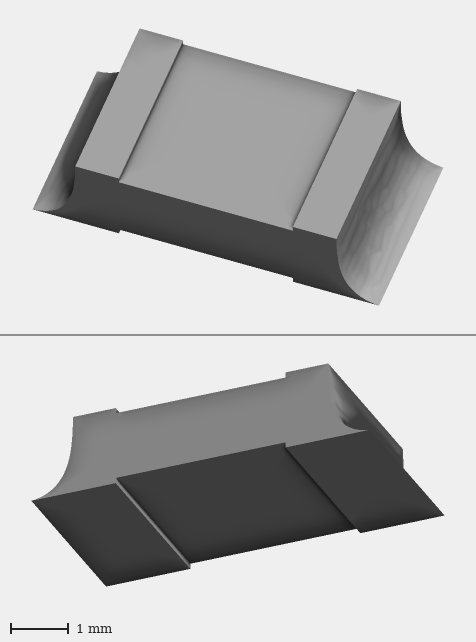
import cadquery as cq

overall_length = 6.4
width = 3.3
height = 1.5

solder_length = 0.79
toe_slope = (1.0, 0.1)

cap_length = 0.805
cap_end_thickness = 0.205
cap_plate_thickness = 0.1

chip_length = overall_length - 2 * solder_length
core_length = chip_length - 2 * cap_end_thickness
core_height = height - 2 * cap_plate_thickness


def make_core():
    """Rectangular core held between the end caps."""
    return (
        cq.Workplane("XY")
        .box(core_length, width, core_height)
        .translate((0, 0, height / 2))
    )


def make_left_cap():
    """C-shaped cap that covers the end, top and bottom of the core."""
    outer_x = -chip_length / 2
    wall_x = outer_x + cap_end_thickness
    inner_x = outer_x + cap_length
    core_bottom = cap_plate_thickness
    core_top = height - cap_plate_thickness
    return (
        cq.Workplane("XZ", origin=(0, width / 2, 0))
        .moveTo(outer_x, 0)
        .lineTo(inner_x, 0)
        .lineTo(inner_x, core_bottom)
        .lineTo(wall_x, core_bottom)
        .lineTo(wall_x, core_top)
        .lineTo(inner_x, core_top)
        .lineTo(inner_x, height)
        .lineTo(outer_x, height)
        .close()
        .extrude(width)
    )


def make_left_solder():
    """Solder wedge with a concave face sweeping from its toe up the cap."""
    toe_x = -overall_length / 2
    cap_x = -chip_length / 2
    return (
        cq.Workplane("XZ", origin=(0, width / 2, 0))
        .moveTo(toe_x, 0)
        .spline(
            [(cap_x, height)],
            tangents=[toe_slope, (0, 1)],
            includeCurrent=True,
        )
        .lineTo(cap_x, 0)
        .close()
        .extrude(width)
    )


core = make_core()
end_bodies = []
for make_left_body in (make_left_cap, make_left_solder):
    left_body = make_left_body()
    right_body = left_body.mirror("YZ")
    end_bodies += [left_body.val(), right_body.val()]

result = cq.Compound.makeCompound([core.val(), *end_bodies])